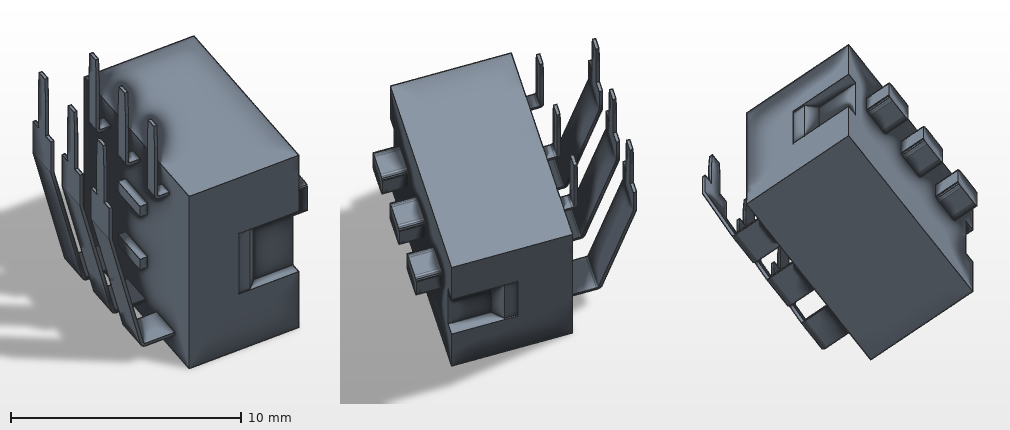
import cadquery as cq
import math

body_width = 9.15
body_depth = 5.5
body_height = 9.9
pitch = 2.54
column_xs = [-pitch, 0, pitch]

knob_width = 1.42
knob_height = 1.57
knob_length = 1.2
knob_top = 6.68
knob_corner_width = 0.26
knob_corner_height = 0.15
knob_corner_flats = 4

recess_length = 3.0
recess_top = knob_top
recess_height = 3.47
recess_depth = 0.52
recess_shelf_length = 0.59
recess_shelf_depth = 0.06

bar_width = 1.92
bar_height = 0.6
bar_length = 0.39
bar_spacing = 3.05

sheet = 0.15
bend_inner_radius = 0.1
bend_outer_radius = bend_inner_radius + sheet
terminal_top = 12.9
pin_width = 0.63
tip_width = 0.5
tip_length = 1.21
short_reach = 0.75
short_foot_z = 8.71
long_reach = short_reach + pitch
long_foot_z = 1.0
long_foot_length = 1.66
blade_width = 1.57
blade_top = 9.69
blade_kink_z = 7.91

body_back = body_depth / 2
body_front = -body_back

tapered_pin = [
    (tip_width / 2, terminal_top),
    (pin_width / 2, terminal_top - tip_length),
]


def make_body():
    body = cq.Workplane("XY").box(body_width, body_depth, body_height, centered=(True, True, False))
    recess = make_recess()
    return body.cut(recess).cut(recess.mirror("YZ"))


def make_recess():
    """Recess in the -X side: deep at the back, then a 45 degree ramp up to a shallow shelf."""
    side = -body_width / 2
    recess_end = body_back - recess_length
    shelf_start = recess_end + recess_shelf_length
    ramp_length = recess_depth - recess_shelf_depth
    return (
        cq.Workplane("XY", origin=(0, 0, recess_top - recess_height))
        .moveTo(side, body_back)
        .lineTo(side + recess_depth, body_back)
        .lineTo(side + recess_depth, shelf_start + ramp_length)
        .lineTo(side + recess_shelf_depth, shelf_start)
        .lineTo(side + recess_shelf_depth, recess_end)
        .lineTo(side, recess_end)
        .close()
        .extrude(recess_height)
    )


def make_knob():
    """Rectangular bar whose corners are rounded off by short flats set on a quarter ellipse."""
    quarter = []
    for step in range(knob_corner_flats + 1):
        angle = math.radians(90 * step / knob_corner_flats)
        x = knob_width / 2 - knob_corner_width * (1 - math.cos(angle))
        z = knob_height / 2 - knob_corner_height * (1 - math.sin(angle))
        quarter.append((x, z))
    right_side = [(x, -z) for x, z in reversed(quarter)] + quarter
    left_side = [(-x, z) for x, z in reversed(right_side)]
    return (
        cq.Workplane("XZ", origin=(0, body_back, knob_top - knob_height / 2))
        .polyline(right_side + left_side)
        .close()
        .extrude(-knob_length)
    )


def make_bar(center_z):
    return (
        cq.Workplane("XZ", origin=(0, body_front, center_z))
        .rect(bar_width, bar_height)
        .extrude(bar_length)
    )


def face_on_shape(half_outline):
    """Solid that trims a bent strip to a face-on shape symmetric about its own center line."""
    mirrored = [(-x, z) for x, z in reversed(half_outline)]
    return (
        cq.Workplane("XZ", origin=(0, body_front, 0))
        .polyline(half_outline + mirrored)
        .close()
        .extrude(long_reach)
    )


def make_strip(profile, foot_z, outer_corner_y, inner_corner_y):
    """Extrude a bent side profile and round the bend between foot and upright."""
    strip = cq.Workplane("YZ").polyline(profile).close().extrude(blade_width / 2, both=True)
    outer_edge = cq.selectors.NearestToPointSelector((0, outer_corner_y, foot_z))
    inner_edge = cq.selectors.NearestToPointSelector((0, inner_corner_y, foot_z + sheet))
    strip = strip.edges("|X").edges(outer_edge).fillet(bend_outer_radius)
    return strip.edges("|X").edges(inner_edge).fillet(bend_inner_radius)


def make_short_terminal():
    """L-shaped pin, one width from the housing to the tapered tip."""
    outer_y = body_front - short_reach
    inner_y = outer_y + sheet
    profile = [
        (body_front, short_foot_z),
        (outer_y, short_foot_z),
        (outer_y, terminal_top),
        (inner_y, terminal_top),
        (inner_y, short_foot_z + sheet),
        (body_front, short_foot_z + sheet),
    ]
    strip = make_strip(profile, short_foot_z, outer_y, inner_y)
    return strip.intersect(face_on_shape(tapered_pin + [(pin_width / 2, short_foot_z)]))


def make_long_terminal():
    """Wide blade that leaves the housing low, leans outward and ends in a narrow upright pin."""
    outer_y = body_front - long_reach
    corner_y = body_front - long_foot_length
    lean = math.atan2(corner_y - outer_y, blade_kink_z - long_foot_z)
    corner_inset = sheet * math.tan((math.pi / 2 - lean) / 2)
    kink_drop = sheet * math.tan(lean / 2)
    inner_corner_y = corner_y + corner_inset
    profile = [
        (body_front, long_foot_z),
        (corner_y, long_foot_z),
        (outer_y, blade_kink_z),
        (outer_y, terminal_top),
        (outer_y + sheet, terminal_top),
        (outer_y + sheet, blade_kink_z - kink_drop),
        (inner_corner_y, long_foot_z + sheet),
        (body_front, long_foot_z + sheet),
    ]
    strip = make_strip(profile, long_foot_z, corner_y, inner_corner_y)
    shoulders = [
        (pin_width / 2, blade_top),
        (blade_width / 2, blade_top),
        (blade_width / 2, long_foot_z),
    ]
    return strip.intersect(face_on_shape(tapered_pin + shoulders))


result = make_body()
for bar_side in (-1, 1):
    result = result.union(make_bar(body_height / 2 + bar_side * bar_spacing / 2))

column = [make_knob(), make_short_terminal(), make_long_terminal()]
for column_x in column_xs:
    for feature in column:
        result = result.union(feature.translate((column_x, 0, 0)))